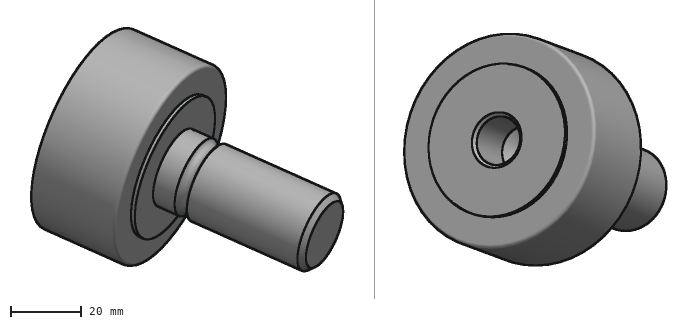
import cadquery as cq
import math


total_length = 80.0
ring_diameter = 62.0
ring_width = 28.0
ring_edge_radius = 1.0

flange_diameter = 44.0
flange_thickness = 1.3

shank_diameter = 24.0
end_chamfer = 1.8
groove_start = 37.7
groove_width = 4.0
groove_depth = 1.6

hole_diameter = 14.0
hole_mouth_diameter = 16.0
hole_depth = 16.0
drill_point_angle = 120.0

shank_radius = shank_diameter / 2
hole_radius = hole_diameter / 2
hole_mouth_radius = hole_mouth_diameter / 2
hole_chamfer = hole_mouth_radius - hole_radius
drill_point_depth = hole_radius / math.tan(math.radians(drill_point_angle / 2))
ring_start = flange_thickness
washer_start = ring_start + ring_width


def collar(start, length, outer_diameter, bore_diameter):
    """Annular disc around the X axis."""
    return (
        cq.Workplane("YZ", origin=(start, 0, 0))
        .circle(outer_diameter / 2)
        .circle(bore_diameter / 2)
        .extrude(length)
    )


def revolve_about_x(profile):
    """Full turn of a closed XY half profile around the X axis."""
    return profile.close().revolve(360, (0, 0, 0), (1, 0, 0))


def make_head_hole():
    """Chamfered blind hole with a conical bottom, as a cutting tool."""
    return revolve_about_x(
        cq.Workplane("XY")
        .moveTo(0, 0)
        .lineTo(0, hole_mouth_radius)
        .lineTo(hole_chamfer, hole_radius)
        .lineTo(hole_depth, hole_radius)
        .lineTo(hole_depth + drill_point_depth, 0)
    )


def make_stud():
    """Headed stud with a round neck groove and a chamfered end."""
    groove_middle = (groove_start + groove_width / 2, shank_radius - groove_depth)
    groove_end = (groove_start + groove_width, shank_radius)
    body = revolve_about_x(
        cq.Workplane("XY")
        .moveTo(0, 0)
        .lineTo(0, flange_diameter / 2)
        .lineTo(flange_thickness, flange_diameter / 2)
        .lineTo(flange_thickness, shank_radius)
        .lineTo(groove_start, shank_radius)
        .threePointArc(groove_middle, groove_end)
        .lineTo(total_length - end_chamfer, shank_radius)
        .lineTo(total_length, shank_radius - end_chamfer)
        .lineTo(total_length, 0)
    )
    return body.cut(make_head_hole())


def make_ring():
    """Roller ring with both outer rims rounded."""
    ring = collar(ring_start, ring_width, ring_diameter, shank_diameter)
    outer_rims = cq.selectors.RadiusNthSelector(-1)
    return ring.edges(outer_rims).fillet(ring_edge_radius)


def make_washer():
    """Flange washer on the shank side of the ring."""
    return collar(washer_start, flange_thickness, flange_diameter, shank_diameter)


stud = make_stud()
ring = make_ring()
washer = make_washer()

result = cq.Compound.makeCompound([stud.val(), ring.val(), washer.val()])